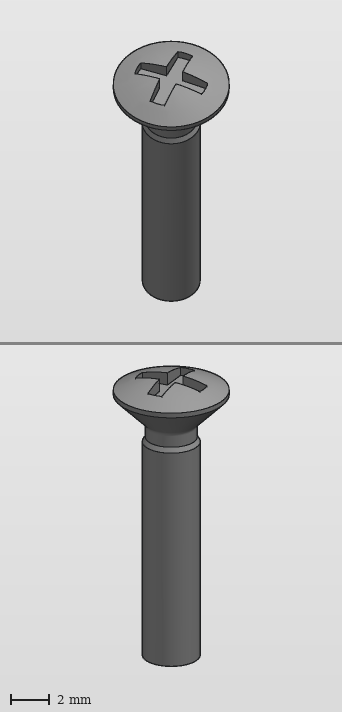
import cadquery as cq
import math

head_radius = 3.001
shank_radius = 1.5
neck_radius = 1.35

shank_top = 12.07
neck_bottom = 12.33
rim_bottom = 14.73
rim_top = 15.0
dome_apex = 15.7

neck_fillet_radius = 0.31

recess_floor = 14.98
recess_reach = 1.91
arm_root_half_width = 0.45
arm_end_half_width = 0.4


def make_body():
    """Revolve the shank, neck, 45 degree countersink and domed head."""
    half_turn = math.radians(45) / 2
    cone_start_radius = neck_radius + neck_fillet_radius * (1 - math.cos(2 * half_turn))
    cone_start = rim_bottom - (head_radius - cone_start_radius)
    neck_top = cone_start - neck_fillet_radius * math.sin(2 * half_turn)
    fillet_middle = (
        neck_radius + neck_fillet_radius * (1 - math.cos(half_turn)),
        neck_top + neck_fillet_radius * math.sin(half_turn),
    )

    dome_rise = dome_apex - rim_top
    dome_radius = (head_radius**2 + dome_rise**2) / (2 * dome_rise)
    middle_radius = head_radius / 2
    middle_height = dome_apex - dome_radius + math.sqrt(dome_radius**2 - middle_radius**2)

    profile = (
        cq.Workplane("XZ")
        .lineTo(shank_radius, 0)
        .lineTo(shank_radius, shank_top)
        .lineTo(neck_radius, neck_bottom)
        .lineTo(neck_radius, neck_top)
        .threePointArc(fillet_middle, (cone_start_radius, cone_start))
        .lineTo(head_radius, rim_bottom)
        .lineTo(head_radius, rim_top)
        .threePointArc((middle_radius, middle_height), (0, dome_apex))
        .close()
    )
    return profile.revolve(360, (0, 0, 0), (0, 1, 0))


def make_recess_bar():
    """Two opposite recess arms, tapering outwards to ends concentric with the axis."""
    arm_corner = math.sqrt(recess_reach**2 - arm_end_half_width**2)
    return (
        cq.Workplane("XY", origin=(0, 0, recess_floor))
        .moveTo(-arm_root_half_width, -arm_root_half_width)
        .lineTo(arm_root_half_width, -arm_root_half_width)
        .lineTo(arm_corner, -arm_end_half_width)
        .threePointArc((recess_reach, 0), (arm_corner, arm_end_half_width))
        .lineTo(arm_root_half_width, arm_root_half_width)
        .lineTo(-arm_root_half_width, arm_root_half_width)
        .lineTo(-arm_corner, arm_end_half_width)
        .threePointArc((-recess_reach, 0), (-arm_corner, -arm_end_half_width))
        .close()
        .extrude(dome_apex - recess_floor)
    )


result = make_body()
for angle in (0, 90):
    result = result.cut(make_recess_bar().rotate((0, 0, 0), (0, 0, 1), angle))